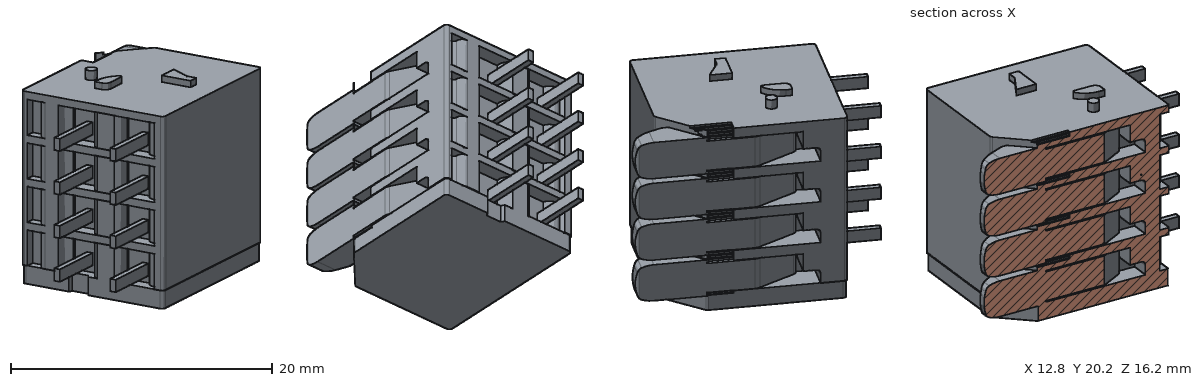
import cadquery as cq
import math

WIDTH = 12.75
DEPTH = 14.5
UNITS = 4
PITCH = 3.5
BASE_HEIGHT = 1.48
BASE_INSET = 0.07
CORNER_RADIUS = 0.3
CHAMFER_X = 3.15
CHAMFER_Y = 3.52
TOP = BASE_HEIGHT + UNITS * PITCH

NOTCH_LEFT = 4.24
NOTCH_RIGHT = 5.97
NOTCH_LEFT_SLOPE = 0.14
NOTCH_RIGHT_SLOPE = 0.18
NOTCH_DEPTH = 0.3

CELL_HEIGHT = 2.87
CELL_DEPTH = 1.2
SMALL_CELL_LEFT = 0.55
SMALL_CELL_FLOOR_RIGHT = 1.32
SMALL_CELL_FOOT_RADIUS = 0.2
SMALL_CELL_EDGE_RADIUS = 0.62
SMALL_CELL_DEPTH = SMALL_CELL_FOOT_RADIUS + SMALL_CELL_EDGE_RADIUS
SMALL_CELL_RIGHT = SMALL_CELL_FLOOR_RIGHT + SMALL_CELL_DEPTH
WIDE_CELL_LEFT = 3.33
WIDE_CELL_RIGHT = 11.94
WIDE_CELL_CURVE_RIGHT = 3.99
WIDE_CELL_FLOOR_LEFT = 4.12
CURVE_FOOT_STEP = 0.1
POST_LEFT = 6.16
POST_FACE_LEFT = 6.76
POST_FACE_RIGHT = 8.28
POST_CURVE_RIGHT = 8.82
POST_RIGHT = 8.9
END_CURVE_LEFT = 10.78
END_CURVE_RIGHT = 11.8
END_CURVE_DEPTH = 0.6

PIN_X = 5.18
PIN_SPACING = 5.0
PIN_WIDTH = 0.5
PIN_HEIGHT = 1.0
PIN_Z = 0.57
PIN_LENGTH = 3.62
PIN_ROOT = 0.5

LEVER_TIP_Y = 16.56
LEVER_TIP_X = 1.26
LEVER_BACK_X = 2.3
LEVER_BACK_Y = 14.03
LEVER_HEIGHT = 3.1
LEVER_DROP = 0.21
HANDLE_START_Y = DEPTH - CHAMFER_Y
LEVER_TIP_ROUND_X = 0.12
LEVER_TIP_ROUND_Y = 0.48
ROUND_START = (15.15, 0.0)
ROUND_MIDDLE = (15.65, 0.05)
CORNER_START = (16.1, 0.18)
CORNER_MIDDLE = (16.29, 0.33)
CORNER_END = (16.42, 0.6)

WINDOW_HEIGHT = 2.65
WINDOW_FRONT_Y = 3.47
LEVER_BEND_Y = 7.04
LEVER_BEND_RADIUS = 0.8
LEVER_FOOT_Y = 3.62
LEVER_FOOT_RADIUS = 0.58
LEVER_GAP = 0.06
LEVER_OVERLAP = 0.1
LEVER_SLOPE = 0.56
TAIL_FRONT_Y = 2.12
TAIL_HEIGHT = 1.16
TAIL_RADIUS = 0.35

STEP_FRONT_Y = 8.89
STEP_REACH = 1.03
STEP_LEDGE = 0.2
STEP_COUNT = 5
STEP_UNDERCUT = 0.19
STEP_BREACH_X = 0.42
STEP_LIP = 0.12

KEY_HEIGHT = 0.53
WEDGE_LEFT = 8.1
WEDGE_RIGHT = 10.67
WEDGE_FRONT = 7.41
WEDGE_LOW_BACK = 8.26
WEDGE_HIGH_BACK = 9.17
WEDGE_SLOPE_END = 9.83
FIN_LEFT = 4.53
FIN_RIGHT = 5.64
FIN_FRONT = 3.42
FIN_CORNER_RADIUS = 0.5
FIN_TIP_Y = 5.71
FIN_TIP_BEVEL = 0.18
FIN_CURVE_MIDDLE = (4.78, 4.93)
FIN_CURVE_START_Y = 3.95
PEG_X = 3.03
PEG_Y = 5.36
PEG_DIAMETER = 0.9
PEG_HEIGHT = 0.77


def unit_floor(index):
    return BASE_HEIGHT + index * PITCH


def box(x0, x1, y0, y1, z0, z1):
    return cq.Workplane("XY").box(x1 - x0, y1 - y0, z1 - z0, centered=False).translate((x0, y0, z0))


def plan_prism(inset, z0, height, rounded_edges):
    """Rectangular prism with one diagonal corner and the selected upright edges rounded."""
    outline = [
        (inset, inset),
        (WIDTH - inset, inset),
        (WIDTH - inset, DEPTH - inset),
        (CHAMFER_X, DEPTH - inset),
        (inset, DEPTH - CHAMFER_Y),
    ]
    prism = cq.Workplane("XY").workplane(offset=z0).polyline(outline).close().extrude(height)
    return prism.edges(rounded_edges).fillet(CORNER_RADIUS)


def make_base():
    notch = (
        cq.Workplane("XY")
        .moveTo(NOTCH_LEFT, 0)
        .lineTo(NOTCH_LEFT, BASE_INSET)
        .lineTo(NOTCH_LEFT + NOTCH_LEFT_SLOPE, BASE_INSET + NOTCH_DEPTH)
        .lineTo(NOTCH_RIGHT - NOTCH_RIGHT_SLOPE, BASE_INSET + NOTCH_DEPTH)
        .lineTo(NOTCH_RIGHT, BASE_INSET)
        .lineTo(NOTCH_RIGHT, 0)
        .close()
        .extrude(BASE_HEIGHT)
    )
    return plan_prism(BASE_INSET, 0, BASE_HEIGHT, "|Z").cut(notch)


def quarter_point(start, end, corner):
    """Middle of a quarter ellipse from start to end that bulges towards corner."""
    half = math.sqrt(0.5)
    centre = (start[0] + end[0] - corner[0], start[1] + end[1] - corner[1])
    return tuple(c + half * (k - c) for c, k in zip(centre, corner))


def make_cells(floor):
    """Open cells of one unit on the pin side."""
    foot = (SMALL_CELL_FLOOR_RIGHT, SMALL_CELL_DEPTH)
    bend = (SMALL_CELL_FLOOR_RIGHT + SMALL_CELL_FOOT_RADIUS, SMALL_CELL_EDGE_RADIUS)
    edge = (SMALL_CELL_RIGHT, 0)
    small = (
        cq.Workplane("XY")
        .workplane(offset=floor)
        .moveTo(SMALL_CELL_LEFT, 0)
        .lineTo(SMALL_CELL_LEFT, SMALL_CELL_DEPTH)
        .lineTo(*foot)
        .threePointArc(quarter_point(foot, bend, (bend[0], foot[1])), bend)
        .threePointArc(quarter_point(bend, edge, (bend[0], edge[1])), edge)
        .close()
        .extrude(CELL_HEIGHT)
    )
    left_edge = (WIDE_CELL_LEFT, 0)
    curve_depth = CELL_DEPTH - CURVE_FOOT_STEP
    left_foot = (WIDE_CELL_CURVE_RIGHT, curve_depth)
    post_foot_left = (POST_LEFT, CELL_DEPTH)
    post_face_left = (POST_FACE_LEFT, BASE_INSET)
    post_face_right = (POST_FACE_RIGHT, BASE_INSET)
    post_foot_right = (POST_CURVE_RIGHT, curve_depth)
    end_foot = (END_CURVE_LEFT, CELL_DEPTH)
    end_top = (END_CURVE_RIGHT, END_CURVE_DEPTH)
    wide = (
        cq.Workplane("XY")
        .workplane(offset=floor)
        .moveTo(*left_edge)
        .threePointArc(quarter_point(left_edge, left_foot, (WIDE_CELL_LEFT, curve_depth)), left_foot)
        .lineTo(WIDE_CELL_FLOOR_LEFT, curve_depth)
        .lineTo(WIDE_CELL_FLOOR_LEFT, CELL_DEPTH)
        .lineTo(*post_foot_left)
        .threePointArc(
            quarter_point(post_foot_left, post_face_left, (POST_LEFT, BASE_INSET)), post_face_left
        )
        .lineTo(*post_face_right)
        .threePointArc(
            quarter_point(post_face_right, post_foot_right, (POST_CURVE_RIGHT, BASE_INSET)), post_foot_right
        )
        .lineTo(POST_RIGHT, curve_depth)
        .lineTo(POST_RIGHT, CELL_DEPTH)
        .lineTo(*end_foot)
        .threePointArc(
            quarter_point(end_foot, end_top, (END_CURVE_LEFT, END_CURVE_DEPTH)), end_top
        )
        .lineTo(WIDE_CELL_RIGHT, END_CURVE_DEPTH)
        .lineTo(WIDE_CELL_RIGHT, 0)
        .close()
        .extrude(CELL_HEIGHT)
    )
    return small.union(wide)


def make_pins(floor):
    z0 = floor + PIN_Z
    root_y = CELL_DEPTH + PIN_ROOT
    pin = box(PIN_X, PIN_X + PIN_WIDTH, -PIN_LENGTH, root_y, z0, z0 + PIN_HEIGHT)
    return pin.union(pin.translate((PIN_SPACING, 0, 0)))


def make_lever(floor):
    return make_lever_arm(floor).union(make_lever_handle(floor))


def make_lever_arm(floor):
    """Part of the lever inside its window, sloping inwards towards its foot."""
    foot_x = LEVER_SLOPE * (LEVER_BEND_Y - LEVER_FOOT_Y)
    root_x = LEVER_BACK_X + LEVER_OVERLAP
    outline = [
        (0, HANDLE_START_Y),
        (0, LEVER_BEND_Y),
        (foot_x, LEVER_FOOT_Y),
        (root_x, LEVER_FOOT_Y),
        (root_x, HANDLE_START_Y),
    ]
    arm = (
        cq.Workplane("XY")
        .workplane(offset=floor + LEVER_GAP)
        .polyline(outline)
        .close()
        .extrude(WINDOW_HEIGHT - 2 * LEVER_GAP)
    )
    bend = cq.selectors.NearestToPointSelector((0, LEVER_BEND_Y, floor + WINDOW_HEIGHT / 2))
    foot = cq.selectors.NearestToPointSelector((foot_x, LEVER_FOOT_Y, floor + WINDOW_HEIGHT / 2))
    arm = arm.edges("|Z").edges(bend).fillet(LEVER_BEND_RADIUS)
    return arm.edges("|Z").edges(foot).fillet(LEVER_FOOT_RADIUS)


def make_lever_handle(floor):
    """Part of the lever behind the stepped recess, rounded towards its tip."""
    low = floor - LEVER_DROP
    high = low + LEVER_HEIGHT
    edge_start = (LEVER_TIP_ROUND_X, LEVER_TIP_Y)
    edge_end = (0, LEVER_TIP_Y - LEVER_TIP_ROUND_Y)
    plan = (
        cq.Workplane("XY")
        .workplane(offset=low)
        .moveTo(0, HANDLE_START_Y)
        .lineTo(LEVER_BACK_X, HANDLE_START_Y)
        .lineTo(LEVER_BACK_X, LEVER_BACK_Y)
        .lineTo(LEVER_TIP_X, LEVER_TIP_Y)
        .lineTo(*edge_start)
        .threePointArc(quarter_point(edge_start, edge_end, (0, LEVER_TIP_Y)), edge_end)
        .close()
        .extrude(LEVER_HEIGHT)
    )

    def lower(point):
        return (point[0], low + point[1])

    def upper(point):
        return (point[0], high - point[1])

    side = (
        cq.Workplane("YZ")
        .moveTo(HANDLE_START_Y, low)
        .lineTo(*lower(ROUND_START))
        .threePointArc(lower(ROUND_MIDDLE), lower(CORNER_START))
        .threePointArc(lower(CORNER_MIDDLE), lower(CORNER_END))
        .threePointArc((LEVER_TIP_Y, low + LEVER_HEIGHT / 2), upper(CORNER_END))
        .threePointArc(upper(CORNER_MIDDLE), upper(CORNER_START))
        .threePointArc(upper(ROUND_MIDDLE), upper(ROUND_START))
        .lineTo(HANDLE_START_Y, high)
        .close()
        .extrude(LEVER_BACK_X)
    )
    return plan.intersect(side)


def make_window(floor):
    """Lever pocket of one unit, with the low tail at its end."""
    pocket = box(0, LEVER_BACK_X, WINDOW_FRONT_Y, DEPTH, floor, floor + WINDOW_HEIGHT)
    tail = box(0, LEVER_BACK_X, TAIL_FRONT_Y, WINDOW_FRONT_Y, floor, floor + TAIL_HEIGHT)
    tail = tail.edges("|X and >Z and <Y").fillet(TAIL_RADIUS)
    return pocket.union(tail)


def make_step_recess(floor):
    """Staircase above the lever and a shallow undercut below it."""
    z0 = floor + WINDOW_HEIGHT
    rise = (PITCH - WINDOW_HEIGHT) / STEP_COUNT
    run = (STEP_REACH - STEP_LEDGE) / (STEP_COUNT - 1)
    recess = box(0, STEP_LEDGE, STEP_FRONT_Y, DEPTH, floor - STEP_UNDERCUT, floor)
    for step in range(STEP_COUNT):
        reach = STEP_LEDGE + step * run
        recess = recess.union(
            box(0, reach, STEP_FRONT_Y, DEPTH, z0 + step * rise, z0 + (step + 1) * rise)
        )
    inside_lip = (
        cq.Workplane("XY")
        .workplane(offset=floor - STEP_UNDERCUT)
        .polyline(
            [
                (0, STEP_FRONT_Y),
                (CHAMFER_X, STEP_FRONT_Y),
                (CHAMFER_X, DEPTH - STEP_LIP),
                (0, DEPTH - CHAMFER_Y - STEP_LIP),
            ]
        )
        .close()
        .extrude(STEP_UNDERCUT + PITCH)
    )
    breach = box(STEP_BREACH_X, STEP_REACH, STEP_FRONT_Y, DEPTH, floor + PITCH - rise, floor + PITCH)
    return recess.intersect(inside_lip).union(breach)


def make_top_marks():
    wedge = (
        cq.Workplane("XY")
        .workplane(offset=TOP)
        .moveTo(WEDGE_LEFT, WEDGE_FRONT)
        .lineTo(WEDGE_RIGHT, WEDGE_FRONT)
        .lineTo(WEDGE_RIGHT, WEDGE_LOW_BACK)
        .lineTo(WEDGE_SLOPE_END, WEDGE_LOW_BACK)
        .lineTo(WEDGE_LEFT, WEDGE_HIGH_BACK)
        .close()
        .extrude(KEY_HEIGHT)
    )
    corner_start = (FIN_RIGHT - FIN_CORNER_RADIUS, FIN_FRONT)
    corner_end = (FIN_RIGHT, FIN_FRONT + FIN_CORNER_RADIUS)
    fin = (
        cq.Workplane("XY")
        .workplane(offset=TOP)
        .moveTo(FIN_LEFT, FIN_FRONT)
        .lineTo(*corner_start)
        .threePointArc(quarter_point(corner_start, corner_end, (FIN_RIGHT, FIN_FRONT)), corner_end)
        .lineTo(FIN_RIGHT, FIN_TIP_Y - FIN_TIP_BEVEL)
        .lineTo(FIN_RIGHT - FIN_TIP_BEVEL, FIN_TIP_Y)
        .threePointArc(FIN_CURVE_MIDDLE, (FIN_LEFT, FIN_CURVE_START_Y))
        .close()
        .extrude(KEY_HEIGHT)
    )
    peg = cq.Workplane("XY").workplane(offset=TOP).center(PEG_X, PEG_Y).circle(PEG_DIAMETER / 2)
    return wedge.union(fin).union(peg.extrude(PEG_HEIGHT))


housing = plan_prism(0, BASE_HEIGHT, UNITS * PITCH, "(|Z and >Y) or (|Z and <Y)")
result = make_base().union(housing)
for unit in range(UNITS):
    unit_z = unit_floor(unit)
    result = result.cut(make_cells(unit_z))
    result = result.cut(make_window(unit_z))
    result = result.cut(make_step_recess(unit_z))
for unit in range(UNITS):
    unit_z = unit_floor(unit)
    result = result.union(make_pins(unit_z))
    result = result.union(make_lever(unit_z))
result = result.union(make_top_marks())